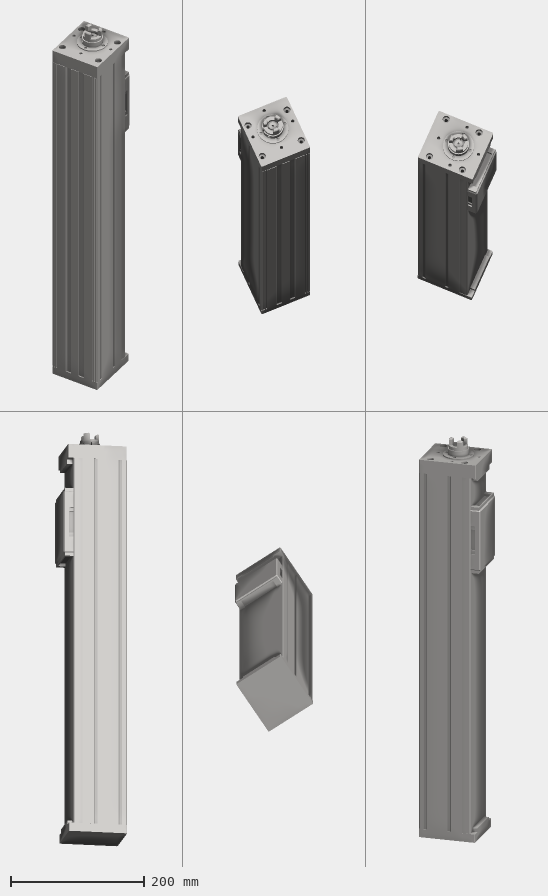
import cadquery as cq
import math

TOTAL_HEIGHT = 624.5
BODY_WIDTH = 80.0
BASE_Y = -50.0
EDGE_CHAMFER = 2.0

END_CAP_HEIGHT = 13.0
END_CAP_TOP_Y = 39.0
DRIVE_CAP_TOP_Y = 40.0
DRIVE_CAP_BASE_Y = -49.5
CAP_EDGE_RADIUS = 1.0
DRIVE_CAP_BOTTOM_Z = 577.5
DRIVE_CAP_TOP_Z = 599.0
END_BUMPER_HEIGHT = 5.5
DRIVE_BUMPER_HEIGHT = 7.0
BUMPER_WIDTH = 56.0

HOLE_COUNT = 4

CORNER_X = 32.0
CORNER_UPPER_Y = 20.0
CORNER_LOWER_Y = -34.0
CORNER_BORE = 5.0
CORNER_COUNTERBORE = 10.5
CORNER_COUNTERBORE_DEPTH = 6.0
MOUNT_HOLE = 5.0
MOUNT_HOLE_DEPTH = 9.5
MOUNT_CIRCLE_RADIUS = 32.5

PROFILE_TOP_Y = 31.0
SIDE_SLOT_CENTERS = (-2.0, -39.5)
SIDE_SLOT_WIDTH = 5.5
FRONT_SLOT_CENTER = 11.0
FRONT_SLOT_WIDTH = 9.5
SLOT_DEPTH = 2.0
SLOT_BEVEL = 2.0
SIDE_LEDGE_Y = 18.0
SIDE_LEDGE_DEPTH = 0.5
FINE_GROOVE_CENTERS = (32.0, 35.5)
FINE_GROOVE_WIDTH = 2.0
FINE_GROOVE_DEPTH = 2.0

FLANGE_DIAMETER = 47.0
FLANGE_HEIGHT = 2.0
FLANGE_HOLE = 5.0
FLANGE_HOLE_RADIUS = 19.5
SHAFT_DIAMETER = 12.0
SHAFT_TOP_Z = 612.0
CENTER_DRILL_DIAMETER = 3.25
CENTER_DRILL_DEPTH = 4.0

HUB_DIAMETER = 32.0
HUB_TOP_Z = 609.5
JAW_DISC_DIAMETER = 29.0
JAW_DISC_TOP_Z = 614.5
JAW_INNER_DIAMETER = 17.5
JAW_COUNT = 3
FIRST_JAW_ANGLE = -90.0
JAW_SPAN = 42.0
JAW_TOP_CHAMFER = 1.0
CLAMP_SLIT = 2.0
CLAMP_SCREW_DIAMETER = 5.0
CLAMP_SCREW_X = -10.5
CLAMP_SCREW_END_Y = -4.0

CARRIAGE_WIDTH = 76.0
CARRIAGE_TOP_Y = 46.0
CARRIAGE_CENTER_Z = 479.0
CARRIAGE_LENGTH = 96.0
END_PLATE_WIDTH = 73.5
END_PLATE_TOP_Y = 44.5
END_PLATE_THICKNESS = 4.5
END_OPENING_WIDTH = 57.5
END_OPENING_TOP_Y = 42.5
RECESS_TOP_Y = 38.0
RECESS_LENGTH = 45.5
RECESS_DEPTH = 2.0
POCKET_LENGTH = 32.5
POCKET_DEPTH = 4.0


def block(x_range, y_range, z_range):
    """Axis-aligned box between the given limits."""
    (x0, x1), (y0, y1), (z0, z1) = x_range, y_range, z_range
    return cq.Workplane("XY").box(x1 - x0, y1 - y0, z1 - z0, centered=False).translate((x0, y0, z0))


def centered_block(width, y_range, z_range):
    """Box that is symmetric about the YZ plane."""
    return block((-width / 2, width / 2), y_range, z_range)


def cylinder(diameter, bottom_z, top_z):
    """Round bar on the drive axis."""
    return cq.Workplane("XY").workplane(offset=bottom_z).circle(diameter / 2).extrude(top_z - bottom_z)


def make_end_cap():
    cap = centered_block(BODY_WIDTH, (BASE_Y, END_CAP_TOP_Y), (0, END_CAP_HEIGHT))
    cap = cap.edges("|Z").fillet(CAP_EDGE_RADIUS)
    bumper_z = (END_CAP_HEIGHT, END_CAP_HEIGHT + END_BUMPER_HEIGHT)
    return cap.union(centered_block(BUMPER_WIDTH, (PROFILE_TOP_Y, END_CAP_TOP_Y), bumper_z))


def make_drive_cap():
    cap_z = (DRIVE_CAP_BOTTOM_Z, DRIVE_CAP_TOP_Z)
    cap = centered_block(BODY_WIDTH, (DRIVE_CAP_BASE_Y, DRIVE_CAP_TOP_Y), cap_z)
    cap = cap.edges("|Z").fillet(CAP_EDGE_RADIUS)
    bumper_z = (DRIVE_CAP_BOTTOM_Z - DRIVE_BUMPER_HEIGHT, DRIVE_CAP_BOTTOM_Z)
    cap = cap.union(centered_block(BUMPER_WIDTH, (PROFILE_TOP_Y, DRIVE_CAP_TOP_Y), bumper_z))

    top_face = cq.Workplane("XY").workplane(offset=DRIVE_CAP_TOP_Z)
    corners = [(x, y) for x in (-CORNER_X, CORNER_X) for y in (CORNER_LOWER_Y, CORNER_UPPER_Y)]
    screw_bores = top_face.pushPoints(corners).circle(CORNER_BORE / 2)
    cap = cap.cut(screw_bores.extrude(DRIVE_CAP_BOTTOM_Z - DRIVE_CAP_TOP_Z))
    counterbores = top_face.pushPoints(corners).circle(CORNER_COUNTERBORE / 2)
    cap = cap.cut(counterbores.extrude(-CORNER_COUNTERBORE_DEPTH))
    mount_holes = top_face.polarArray(MOUNT_CIRCLE_RADIUS, 0, 360, HOLE_COUNT).circle(MOUNT_HOLE / 2)
    return cap.cut(mount_holes.extrude(-MOUNT_HOLE_DEPTH))


def slot_cutter(width):
    """Shallow slot opening toward -Y at the origin, with a sloping wall on its +X side."""
    half = width / 2
    outline = [(-half, 0), (-half, SLOT_DEPTH), (half - SLOT_BEVEL, SLOT_DEPTH), (half, 0)]
    length = DRIVE_CAP_BOTTOM_Z - END_CAP_HEIGHT
    return cq.Workplane("XY").workplane(offset=END_CAP_HEIGHT).polyline(outline).close().extrude(length)


def make_profile():
    z_range = (END_CAP_HEIGHT, DRIVE_CAP_BOTTOM_Z)
    half_width = BODY_WIDTH / 2
    profile = centered_block(BODY_WIDTH, (BASE_Y, PROFILE_TOP_Y), z_range)
    profile = profile.edges("|Z").chamfer(EDGE_CHAMFER)

    front_slot = slot_cutter(FRONT_SLOT_WIDTH)
    front_slot = front_slot.translate((FRONT_SLOT_CENTER, BASE_Y, 0))
    profile = profile.cut(front_slot).cut(front_slot.mirror("YZ"))

    for center_x in FINE_GROOVE_CENTERS:
        x_range = (center_x - FINE_GROOVE_WIDTH / 2, center_x + FINE_GROOVE_WIDTH / 2)
        groove = block(x_range, (BASE_Y, BASE_Y + FINE_GROOVE_DEPTH), z_range)
        profile = profile.cut(groove).cut(groove.mirror("YZ"))

    for center_y in SIDE_SLOT_CENTERS:
        side_slot = slot_cutter(SIDE_SLOT_WIDTH).rotate((0, 0, 0), (0, 0, 1), 90)
        side_slot = side_slot.translate((half_width, center_y, 0))
        profile = profile.cut(side_slot).cut(side_slot.mirror("YZ"))

    ledge = block((half_width - SIDE_LEDGE_DEPTH, half_width), (SIDE_LEDGE_Y, PROFILE_TOP_Y), z_range)
    return profile.cut(ledge).cut(ledge.mirror("YZ"))


def make_bearing_flange():
    flange_top = DRIVE_CAP_TOP_Z + FLANGE_HEIGHT
    flange = cylinder(FLANGE_DIAMETER, DRIVE_CAP_TOP_Z, flange_top)
    holes = cq.Workplane("XY").workplane(offset=flange_top)
    holes = holes.polarArray(FLANGE_HOLE_RADIUS, 0, 360, HOLE_COUNT).circle(FLANGE_HOLE / 2)
    flange = flange.cut(holes.extrude(-FLANGE_HEIGHT))
    shaft = cylinder(SHAFT_DIAMETER, DRIVE_CAP_TOP_Z, SHAFT_TOP_Z)
    shaft = shaft.cut(cylinder(CENTER_DRILL_DIAMETER, SHAFT_TOP_Z - CENTER_DRILL_DEPTH, SHAFT_TOP_Z))
    return flange.union(shaft)


def coupling_jaw(angle):
    """Ring sector that stands on the jaw disc, centred on the given angle in degrees."""
    inner = JAW_INNER_DIAMETER / 2
    outer = JAW_DISC_DIAMETER / 2

    def polar(radius, offset):
        direction = math.radians(angle + offset)
        return (radius * math.cos(direction), radius * math.sin(direction))

    half_span = JAW_SPAN / 2
    outline = cq.Workplane("XY").workplane(offset=JAW_DISC_TOP_Z).moveTo(*polar(inner, -half_span))
    outline = outline.lineTo(*polar(outer, -half_span))
    outline = outline.threePointArc(polar(outer, 0), polar(outer, half_span))
    outline = outline.lineTo(*polar(inner, half_span))
    outline = outline.threePointArc(polar(inner, 0), polar(inner, -half_span)).close()
    jaw = outline.extrude(TOTAL_HEIGHT - JAW_DISC_TOP_Z)
    return jaw.faces(">Z").chamfer(JAW_TOP_CHAMFER)


def make_coupling():
    bottom_z = DRIVE_CAP_TOP_Z + FLANGE_HEIGHT
    coupling = cylinder(HUB_DIAMETER, bottom_z, HUB_TOP_Z)
    coupling = coupling.union(cylinder(JAW_DISC_DIAMETER, HUB_TOP_Z, JAW_DISC_TOP_Z))
    for index in range(JAW_COUNT):
        coupling = coupling.union(coupling_jaw(FIRST_JAW_ANGLE + index * 360 / JAW_COUNT))
    coupling = coupling.cut(cylinder(SHAFT_DIAMETER, bottom_z, JAW_DISC_TOP_Z))
    coupling = coupling.cut(cylinder(JAW_INNER_DIAMETER, HUB_TOP_Z, JAW_DISC_TOP_Z))

    slit = block((-HUB_DIAMETER / 2, 0), (-CLAMP_SLIT / 2, CLAMP_SLIT / 2), (bottom_z, HUB_TOP_Z))
    screw_bore = cq.Workplane("XZ", origin=(CLAMP_SCREW_X, CLAMP_SCREW_END_Y, (bottom_z + HUB_TOP_Z) / 2))
    screw_bore = screw_bore.circle(CLAMP_SCREW_DIAMETER / 2).extrude(HUB_DIAMETER / 2 + CLAMP_SCREW_END_Y)
    return coupling.cut(slit).cut(screw_bore).cut(screw_bore.mirror("XZ"))


def make_carriage():
    def span(length):
        return (CARRIAGE_CENTER_Z - length / 2, CARRIAGE_CENTER_Z + length / 2)

    carriage = centered_block(CARRIAGE_WIDTH, (PROFILE_TOP_Y, CARRIAGE_TOP_Y), span(CARRIAGE_LENGTH))
    carriage = carriage.edges(">Y or |Y").chamfer(EDGE_CHAMFER)
    plates_length = CARRIAGE_LENGTH + 2 * END_PLATE_THICKNESS
    plates = centered_block(END_PLATE_WIDTH, (PROFILE_TOP_Y, END_PLATE_TOP_Y), span(plates_length))
    plate_opening = centered_block(END_OPENING_WIDTH, (PROFILE_TOP_Y, END_OPENING_TOP_Y), span(plates_length))
    carriage = carriage.union(plates.cut(plate_opening))

    half_width = CARRIAGE_WIDTH / 2
    for length, depth in ((RECESS_LENGTH, RECESS_DEPTH), (POCKET_LENGTH, POCKET_DEPTH)):
        step = block((half_width - depth, half_width), (PROFILE_TOP_Y, RECESS_TOP_Y), span(length))
        carriage = carriage.cut(step).cut(step.mirror("YZ"))
    return carriage


profile = make_profile()
end_cap = make_end_cap()
drive_cap = make_drive_cap()
bearing_flange = make_bearing_flange()
coupling = make_coupling()
carriage = make_carriage()

result = cq.Compound.makeCompound([
    profile.val(),
    end_cap.val(),
    drive_cap.val(),
    bearing_flange.val(),
    coupling.val(),
    carriage.val(),
])